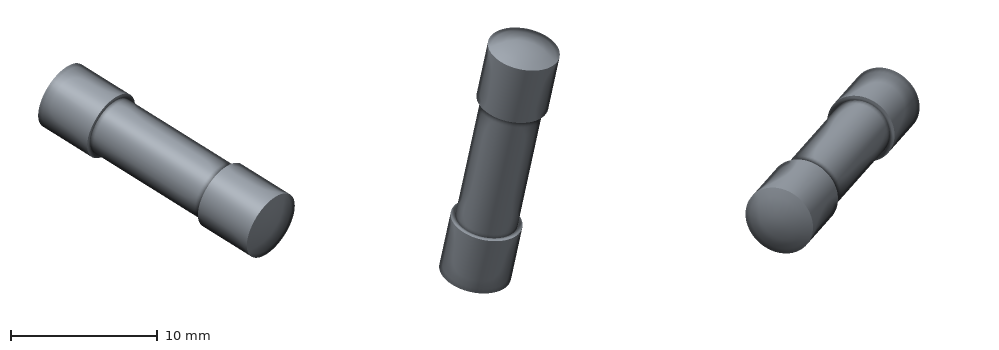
import cadquery as cq

length = 20.0
cap_diameter = 5.0
cap_length = 5.0
dome_height = 0.58
tube_diameter = 4.32

cap_radius = cap_diameter / 2
tube_radius = tube_diameter / 2
tip_x = length / 2
cap_inner_x = tip_x - cap_length
dome_base_x = tip_x - dome_height

dome_radius = (cap_radius**2 + dome_height**2) / (2 * dome_height)
dome_center_x = tip_x - dome_radius
dome_mid_r = cap_radius / 2
dome_mid_x = dome_center_x + (dome_radius**2 - dome_mid_r**2) ** 0.5

profile = (
    cq.Workplane("XY")
    .moveTo(-tip_x, 0)
    .threePointArc((-dome_mid_x, dome_mid_r), (-dome_base_x, cap_radius))
    .lineTo(-cap_inner_x, cap_radius)
    .lineTo(-cap_inner_x, tube_radius)
    .lineTo(cap_inner_x, tube_radius)
    .lineTo(cap_inner_x, cap_radius)
    .lineTo(dome_base_x, cap_radius)
    .threePointArc((dome_mid_x, dome_mid_r), (tip_x, 0))
    .close()
)

result = profile.revolve(360, (0, 0, 0), (1, 0, 0))